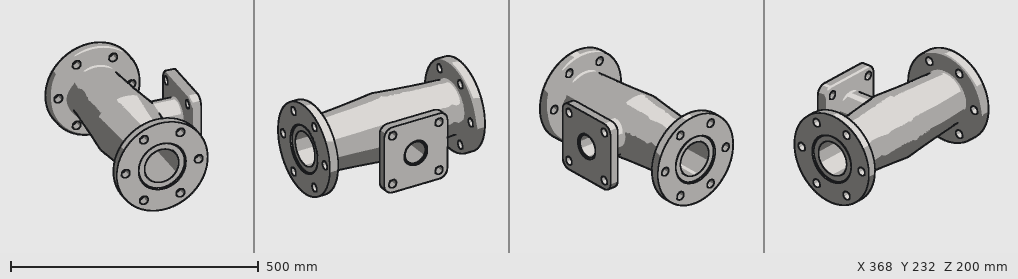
import cadquery as cq

LENGTH = 368.0
END_RADIUS = 57.5
WAIST_RADIUS = 70.3
BODY_SAG = 0.9
BORE_DIAMETER = 75.0

FLANGE_DIAMETER = 200.0
FLANGE_THICKNESS = 22.0
FLANGE_BOLT_COUNT = 6
FLANGE_BOLT_CIRCLE = 160.0
BOLT_HOLE_DIAMETER = 18.0
RECESS_MOUTH_DIAMETER = 104.0
RECESS_FLOOR_DIAMETER = 100.0
RECESS_DEPTH = 3.0

BRANCH_REACH = 132.0
NECK_DIAMETER = 80.0
BRANCH_BORE_DIAMETER = 48.0
BRANCH_RECESS_DIAMETER = 55.0

PLATE_SIDE = 149.8
PLATE_THICKNESS = 22.0
PLATE_CORNER_RADIUS = 20.0
PLATE_BOLT_SPACING = 110.0

FILLET = 5.0

HALF_LENGTH = LENGTH / 2
FLANGE_INNER_X = HALF_LENGTH - FLANGE_THICKNESS
PLATE_INNER_Y = BRANCH_REACH - PLATE_THICKNESS
SELECT_MARGIN = 0.5


def cylinder_along_y(diameter, start, end):
    """Cylinder on the Y axis between two Y positions."""
    return cq.Workplane("XZ", origin=(0, start, 0)).circle(diameter / 2).extrude(start - end)


def make_run():
    """Waisted body with both end flanges, revolved about X as one outline."""
    rim = FLANGE_DIAMETER / 2
    middle_radius = (END_RADIUS + WAIST_RADIUS) / 2 - BODY_SAG
    outline = (
        cq.Workplane("XZ")
        .moveTo(-HALF_LENGTH, 0)
        .lineTo(-HALF_LENGTH, rim)
        .lineTo(-FLANGE_INNER_X, rim)
        .lineTo(-FLANGE_INNER_X, END_RADIUS)
        .spline([(-FLANGE_INNER_X / 2, middle_radius), (0, WAIST_RADIUS)], includeCurrent=True)
        .spline([(FLANGE_INNER_X / 2, middle_radius), (FLANGE_INNER_X, END_RADIUS)], includeCurrent=True)
        .lineTo(FLANGE_INNER_X, rim)
        .lineTo(HALF_LENGTH, rim)
        .lineTo(HALF_LENGTH, 0)
        .close()
    )
    run = outline.revolve(360, (0, 0, 0), (1, 0, 0)).rotate((0, 0, 0), (1, 0, 0), 180)
    for side in (-1, 1):
        face_x = side * FLANGE_INNER_X
        inner_edges = cq.selectors.BoxSelector(
            (face_x - SELECT_MARGIN, -rim, -rim),
            (face_x + SELECT_MARGIN, rim, rim),
        )
        run = run.edges("%CIRCLE").edges(inner_edges).fillet(FILLET)
    return run


def make_plate():
    """Square branch flange with its edge toward the run rounded."""
    plate = (
        cq.Workplane("XZ", origin=(0, BRANCH_REACH, 0))
        .rect(PLATE_SIDE, PLATE_SIDE)
        .extrude(PLATE_THICKNESS)
        .edges("|Y")
        .fillet(PLATE_CORNER_RADIUS)
    )
    return plate.faces("<Y").edges().fillet(FILLET)


def add_branch(run):
    """Join the neck and its flange to the run and fillet both neck roots."""
    neck = cylinder_along_y(NECK_DIAMETER, 0, PLATE_INNER_Y)
    body = run.union(neck).union(make_plate())
    reach = NECK_DIAMETER / 2 + SELECT_MARGIN
    root_edges = cq.selectors.BoxSelector(
        (-reach, WAIST_RADIUS / 2, -reach),
        (reach, PLATE_INNER_Y + SELECT_MARGIN, reach),
        boundingbox=True,
    )
    return body.edges(root_edges).fillet(FILLET)


def cut_run_openings(body):
    """Through bore, flange face recesses and flange bolt holes."""
    bore = cq.Workplane("YZ").circle(BORE_DIAMETER / 2).extrude(HALF_LENGTH, both=True)
    body = body.cut(bore)
    bolt_radius = FLANGE_BOLT_CIRCLE / 2
    for side in (-1, 1):
        recess = cq.Solid.makeCone(
            RECESS_MOUTH_DIAMETER / 2,
            RECESS_FLOOR_DIAMETER / 2,
            RECESS_DEPTH,
            cq.Vector(side * HALF_LENGTH, 0, 0),
            cq.Vector(-side, 0, 0),
        )
        bolt_holes = (
            cq.Workplane("YZ", origin=(side * HALF_LENGTH, 0, 0))
            .polarArray(bolt_radius, 0, 360, FLANGE_BOLT_COUNT)
            .circle(BOLT_HOLE_DIAMETER / 2)
            .extrude(-side * FLANGE_THICKNESS)
        )
        body = body.cut(cq.Workplane(recess)).cut(bolt_holes)
    return body


def cut_branch_openings(body):
    """Branch bore into the run, its face recess and the plate bolt holes."""
    bore = cylinder_along_y(BRANCH_BORE_DIAMETER, 0, BRANCH_REACH)
    recess = cylinder_along_y(BRANCH_RECESS_DIAMETER, BRANCH_REACH - RECESS_DEPTH, BRANCH_REACH)
    bolt_holes = (
        cq.Workplane("XZ", origin=(0, BRANCH_REACH, 0))
        .rect(PLATE_BOLT_SPACING, PLATE_BOLT_SPACING, forConstruction=True)
        .vertices()
        .circle(BOLT_HOLE_DIAMETER / 2)
        .extrude(PLATE_THICKNESS)
    )
    return body.cut(bore).cut(recess).cut(bolt_holes)


result = cut_branch_openings(cut_run_openings(add_branch(make_run())))